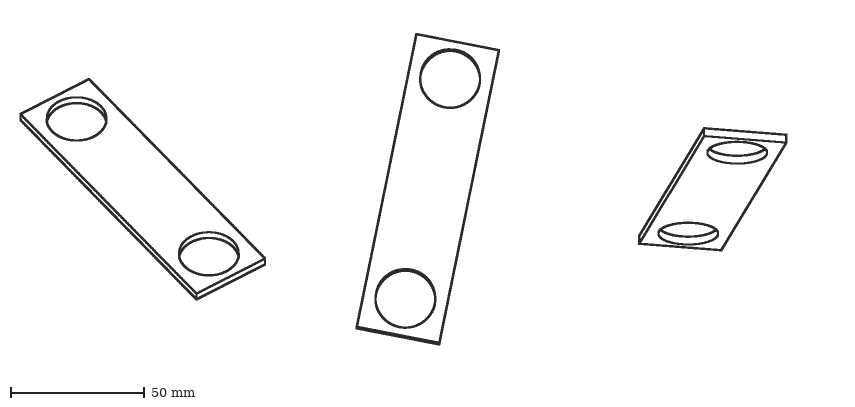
import cadquery as cq

length = 114.3
width = 31.5
thickness = 3.2
hole_diameter = 22.4
hole_spacing = 85.8

plate = cq.Workplane("XY").box(length, width, thickness)

hole_centers = [(-hole_spacing / 2, 0), (hole_spacing / 2, 0)]
result = plate.faces(">Z").workplane().pushPoints(hole_centers).hole(hole_diameter)